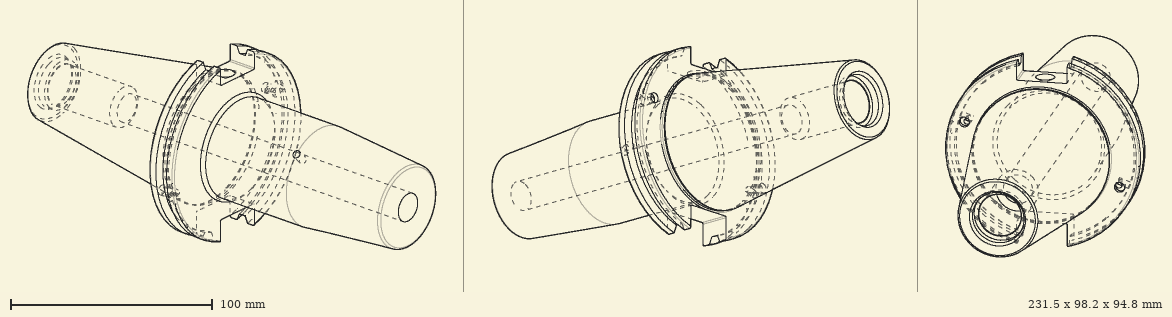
import cadquery as cq
import math

total_length = 231.5
gauge_x = 101.7
gauge_radius = 35.0
taper_ratio = 7 / 24
tail_radius = gauge_radius - gauge_x * taper_ratio / 2
tail_chamfer = 1.0

neck_radius = 69.2 / 2
neck_x = 102.5
neck_fillet = 0.7

flange_start_x = 104.7
flange_end_x = 120.5
flange_radius = 98.2 / 2
flange_fillet = 1.0
groove_x = 112.5
groove_mouth_width = 7.0
groove_floor_width = 3.7
groove_radius = 45.6

nose_radius = 53.0 / 2
nose_cone_x = 174.9
nose_tip_radius = 22.0
nose_root_chamfer = 1.9
tip_fillet = 1.2

mouth_radius = 28.5 / 2
pilot_radius = 26.2 / 2
pilot_chamfer_depth = 1.9
pilot_depth = 5.8
thread_chamfer_radius = 22.0 / 2
thread_radius = 21.5 / 2
thread_depth = 46.3
through_radius = 14.8 / 2
drill_half_angle = math.radians(59)

slot_width = 25.7
upper_slot_floor = 38.0
lower_slot_floor = 35.2
slot_corner_fillet = 0.7

pocket_radius = 9.5 / 2

port_angles = (20, 200)
port_entry_circle_radius = 42.0
port_circle_radius = 41.0
port_entry_radius = 5.0 / 2
port_entry_depth = 2.3
port_radius = 3.0 / 2
side_port_radius = 3.2 / 2

nose_hole_radius = 4.0 / 2
nose_hole_depth = 7.0
nose_hole_angle = 135


def make_body():
    """Solid of revolution about X for the taper, flange and nose."""
    mouth_half = groove_mouth_width / 2
    floor_half = groove_floor_width / 2
    profile = (
        cq.Workplane("XY")
        .lineTo(0, tail_radius - tail_chamfer)
        .lineTo(tail_chamfer, tail_radius + tail_chamfer * taper_ratio / 2)
        .lineTo(gauge_x, gauge_radius)
        .lineTo(neck_x, neck_radius)
        .lineTo(flange_start_x - neck_fillet, neck_radius)
        .radiusArc((flange_start_x, neck_radius + neck_fillet), -neck_fillet)
        .lineTo(flange_start_x, flange_radius - flange_fillet)
        .radiusArc((flange_start_x + flange_fillet, flange_radius), flange_fillet)
        .lineTo(groove_x - mouth_half, flange_radius)
        .lineTo(groove_x - floor_half, groove_radius)
        .lineTo(groove_x + floor_half, groove_radius)
        .lineTo(groove_x + mouth_half, flange_radius)
        .lineTo(flange_end_x - flange_fillet, flange_radius)
        .radiusArc((flange_end_x, flange_radius - flange_fillet), flange_fillet)
        .lineTo(flange_end_x, nose_radius + nose_root_chamfer)
        .lineTo(flange_end_x + nose_root_chamfer, nose_radius)
        .lineTo(nose_cone_x, nose_radius)
        .lineTo(total_length - tip_fillet, nose_tip_radius)
        .radiusArc((total_length, nose_tip_radius - tip_fillet), tip_fillet)
        .lineTo(total_length, 0)
        .close()
    )
    return profile.revolve(360, (0, 0, 0), (1, 0, 0))


def make_bore():
    """Stepped bore: chamfered pilot, thread hole with a drilled end, through hole."""
    thread_chamfer = thread_chamfer_radius - thread_radius
    cone_length = (thread_radius - through_radius) / math.tan(drill_half_angle)
    profile = (
        cq.Workplane("XY")
        .lineTo(0, mouth_radius)
        .lineTo(pilot_chamfer_depth, pilot_radius)
        .lineTo(pilot_depth, pilot_radius)
        .lineTo(pilot_depth, thread_chamfer_radius)
        .lineTo(pilot_depth + thread_chamfer, thread_radius)
        .lineTo(thread_depth, thread_radius)
        .lineTo(thread_depth + cone_length, through_radius)
        .lineTo(total_length, through_radius)
        .lineTo(total_length, 0)
        .close()
    )
    return profile.revolve(360, (0, 0, 0), (1, 0, 0))


def make_slot(floor_height, side):
    """Drive slot cutter; side is +1 for the upper slot and -1 for the lower one."""
    height = flange_radius - floor_height
    length = flange_end_x - flange_start_x
    cutter = (
        cq.Workplane("XY")
        .box(length, slot_width, 2 * height)
        .edges("|X")
        .fillet(slot_corner_fillet)
    )
    middle_x = (flange_start_x + flange_end_x) / 2
    return cutter.translate((middle_x, 0, side * (floor_height + height)))


def make_pocket():
    """Conical drill-point pocket in the upper slot floor."""
    cone_length = pocket_radius / math.tan(drill_half_angle)
    profile = (
        cq.Workplane("XZ")
        .lineTo(pocket_radius, 0)
        .lineTo(0, -cone_length)
        .close()
    )
    pocket = profile.revolve(360, (0, 0, 0), (0, 1, 0))
    return pocket.translate((groove_x, 0, upper_slot_floor))


def radial_hole(x, radius, inner, outer, angle):
    """Cylinder pointing away from the X axis, turned by angle from +Y towards +Z."""
    hole = cq.Workplane("XZ", origin=(x, outer, 0)).circle(radius).extrude(outer - inner)
    return hole.rotate((0, 0, 0), (1, 0, 0), angle)


def make_port(angle):
    """Stepped axial hole in the flange face joined to a radial hole in the groove."""
    port = (
        cq.Workplane("YZ", origin=(flange_start_x, port_circle_radius, 0))
        .circle(port_radius)
        .extrude(groove_x - flange_start_x)
    )
    entry = (
        cq.Workplane("YZ", origin=(flange_start_x, port_entry_circle_radius, 0))
        .circle(port_entry_radius)
        .extrude(port_entry_depth)
    )
    axial = port.union(entry).rotate((0, 0, 0), (1, 0, 0), angle)
    inner = port_circle_radius - port_radius
    return axial.union(radial_hole(groove_x, side_port_radius, inner, flange_radius, angle))


result = make_body().cut(make_bore())
result = result.cut(make_slot(upper_slot_floor, 1))
result = result.cut(make_slot(lower_slot_floor, -1))
result = result.cut(make_pocket())
for angle in port_angles:
    result = result.cut(make_port(angle))
nose_hole_floor = nose_radius - nose_hole_depth
result = result.cut(
    radial_hole(nose_cone_x, nose_hole_radius, nose_hole_floor, flange_radius, nose_hole_angle)
)
result = result.solids()